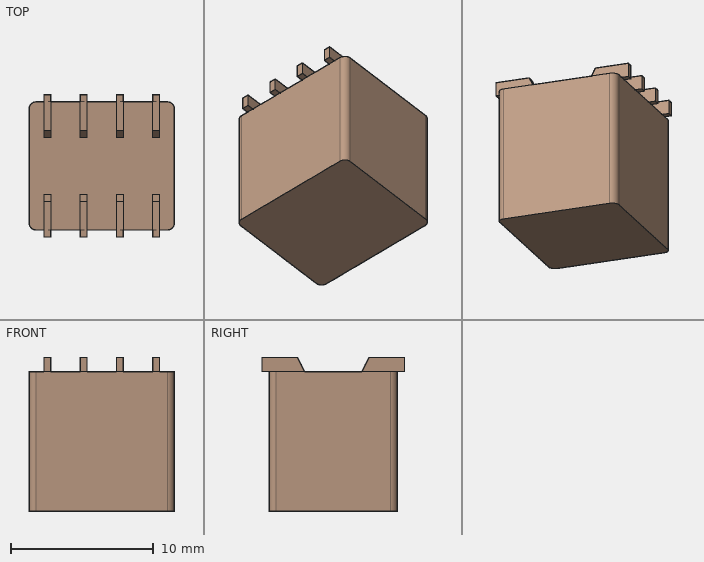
import cadquery as cq

body_length = 10.2
body_width = 9.0
body_height = 9.8
corner_radius = 0.5

pins_per_row = 4
pin_pitch = 2.54
pin_thickness = 0.5
pin_height = 1.0
pin_base_length = 3.0
pin_top_length = 2.5
pin_overhang = 0.5

pin_outer_y = body_width / 2 + pin_overhang


def make_body():
    block = cq.Workplane("XY").box(body_length, body_width, body_height, centered=(True, True, False))
    return block.edges("|Z").fillet(corner_radius)


def make_pin(x_center, side):
    """Bar with a sloped inner end; side is +1 for the +Y row and -1 for the -Y row."""
    pin_top = body_height + pin_height
    profile = [
        (side * pin_outer_y, body_height),
        (side * pin_outer_y, pin_top),
        (side * (pin_outer_y - pin_top_length), pin_top),
        (side * (pin_outer_y - pin_base_length), body_height),
    ]
    return (
        cq.Workplane("YZ", origin=(x_center, 0, 0))
        .polyline(profile)
        .close()
        .extrude(pin_thickness / 2, both=True)
    )


result = make_body()
for index in range(pins_per_row):
    pin_x = (index - (pins_per_row - 1) / 2) * pin_pitch
    for row_side in (-1, 1):
        result = result.union(make_pin(pin_x, row_side))